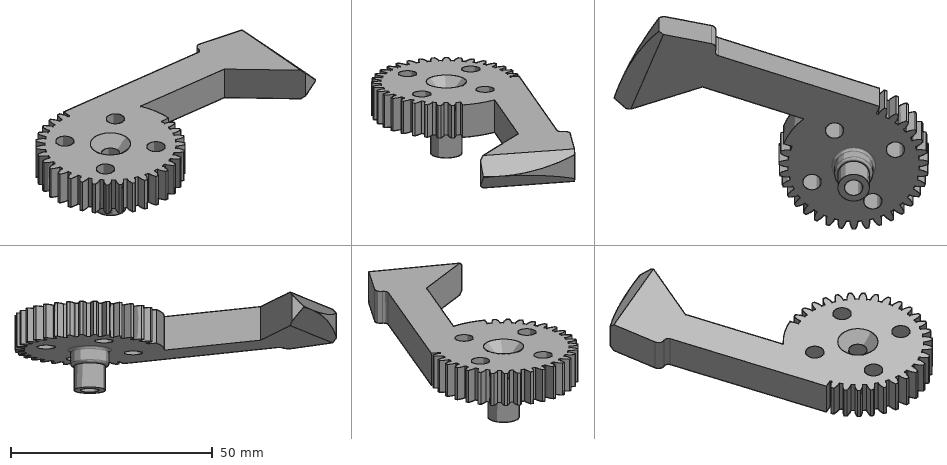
import cadquery as cq
import math

overall_length = 80.3
thickness = 8.5

tooth_count = 35
tip_diameter = 37.0
tip_radius = tip_diameter / 2
module = tip_diameter / (tooth_count + 2)
pitch_radius = module * tooth_count / 2
dedendum = 1.25 * module
root_radius = pitch_radius - dedendum
pressure_angle = math.radians(20)
base_radius = pitch_radius * math.cos(pressure_angle)
flank_samples = 6

arm_width = 9.95
arm_left = -tip_radius
arm_right = arm_left + arm_width
head_radius = overall_length - tip_radius
head_right = 4.5
head_right_bottom = 58.5
arm_right_top = 43.1
head_left_top = -19.4
heel_x = -21.45
heel_y = 43.8
heel_radius = 1.5
heel_inner_radius = 1.1

collar_diameter = 9.5
collar_length = 4.1
collar_fillet = 0.65
shaft_diameter = 7.8
shaft_length = 10.2

hole_diameter = 4.5
hole_offset = 8.0
countersink_diameter = 9.95
countersink_angle = 90


def polar(radius, angle):
    """Point at a radius and an angle in radians."""
    return (radius * math.cos(angle), radius * math.sin(angle))


def involute(radius):
    """Polar angle swept by the involute between the base circle and a radius."""
    roll = math.acos(base_radius / radius)
    return math.tan(roll) - roll


def half_tooth_angle(radius):
    """Angle from the tooth centre line to its flank at a radius."""
    at_pitch = math.pi / (2 * tooth_count)
    return at_pitch + involute(pitch_radius) - involute(radius)


def make_tooth():
    """One involute tooth on the +X axis, rooted just inside the root circle."""
    step = (tip_radius - base_radius) / (flank_samples - 1)
    radii = [base_radius + step * i for i in range(flank_samples)]
    upper = [polar(r, half_tooth_angle(r)) for r in radii]
    lower = [(x, -y) for x, y in upper]
    foot_x = root_radius - module / 2
    foot_y = upper[0][1]
    return (
        cq.Workplane("XY")
        .moveTo(foot_x, -foot_y)
        .lineTo(*lower[0])
        .spline(lower[1:], includeCurrent=True)
        .threePointArc((tip_radius, 0), upper[-1])
        .spline(upper[-2::-1], includeCurrent=True)
        .lineTo(foot_x, foot_y)
        .close()
        .extrude(thickness)
    )


def make_gear():
    """Gear whose quarter between +Y and -X is left without teeth."""
    gear = cq.Workplane("XY").circle(root_radius).extrude(thickness)
    tooth = make_tooth()
    pitch_angle = 360 / tooth_count
    for i in range(tooth_count):
        angle = i * pitch_angle
        if not 90 < angle < 180:
            gear = gear.union(tooth.rotate((0, 0, 0), (0, 0, 1), angle))
    diagonal = polar(tip_radius, math.radians(135))
    plain_quarter = (
        cq.Workplane("XY")
        .moveTo(0, 0)
        .lineTo(0, tip_radius)
        .threePointArc(diagonal, (-tip_radius, 0))
        .close()
        .extrude(thickness)
    )
    return gear.union(plain_quarter)


def make_arm():
    """Arm and head, with the head end bevelled to a ridge at mid thickness."""
    head_left_y = math.sqrt(head_radius**2 - head_left_top**2)
    head_right_y = math.sqrt(head_radius**2 - head_right**2)
    arm = (
        cq.Workplane("XY")
        .moveTo(arm_left, 0)
        .lineTo(arm_right, 0)
        .lineTo(arm_right, arm_right_top)
        .lineTo(head_right, head_right_bottom)
        .lineTo(head_right, head_right_y)
        .threePointArc((0, head_radius), (head_left_top, head_left_y))
        .lineTo(heel_x, heel_y)
        .lineTo(arm_left, heel_y)
        .close()
        .extrude(thickness)
    )
    mid = thickness / 2
    heel = cq.NearestToPointSelector((heel_x, heel_y, mid))
    arm = arm.edges("|Z").edges(heel).fillet(heel_radius)
    inner_heel = cq.NearestToPointSelector((arm_left, heel_y, mid))
    arm = arm.edges("|Z").edges(inner_heel).fillet(heel_inner_radius)
    side_profile = (
        cq.Workplane("YZ")
        .polyline([
            (0, 0),
            (head_radius - mid, 0),
            (head_radius, mid),
            (head_radius - mid, thickness),
            (0, thickness),
        ])
        .close()
        .extrude(head_radius, both=True)
    )
    return arm.intersect(side_profile)


def make_shaft():
    """Collar flared into the gear and rounded at its free end, then the shaft."""
    collar_radius = collar_diameter / 2
    shaft_radius = shaft_diameter / 2
    diagonal_inset = collar_fillet * (1 - math.sqrt(0.5))
    return (
        cq.Workplane("XZ")
        .moveTo(0, 0)
        .lineTo(collar_radius + collar_fillet, 0)
        .threePointArc(
            (collar_radius + diagonal_inset, -diagonal_inset),
            (collar_radius, -collar_fillet),
        )
        .lineTo(collar_radius, collar_fillet - collar_length)
        .threePointArc(
            (collar_radius - diagonal_inset, diagonal_inset - collar_length),
            (collar_radius - collar_fillet, -collar_length),
        )
        .lineTo(shaft_radius, -collar_length)
        .lineTo(shaft_radius, -shaft_length)
        .lineTo(0, -shaft_length)
        .close()
        .revolve(360, (0, 0, 0), (0, 1, 0))
    )


def drill_holes(body):
    """Countersunk hole along the gear axis and four plain holes around it."""
    top_centre = (0, 0, thickness)
    body = (
        body.faces(">Z")
        .workplane(origin=top_centre)
        .cskHole(hole_diameter, countersink_diameter, countersink_angle)
    )
    return (
        body.faces(">Z")
        .workplane(origin=top_centre)
        .rect(2 * hole_offset, 2 * hole_offset, forConstruction=True)
        .vertices()
        .hole(hole_diameter)
    )


result = drill_holes(make_gear().union(make_arm()).union(make_shaft()))